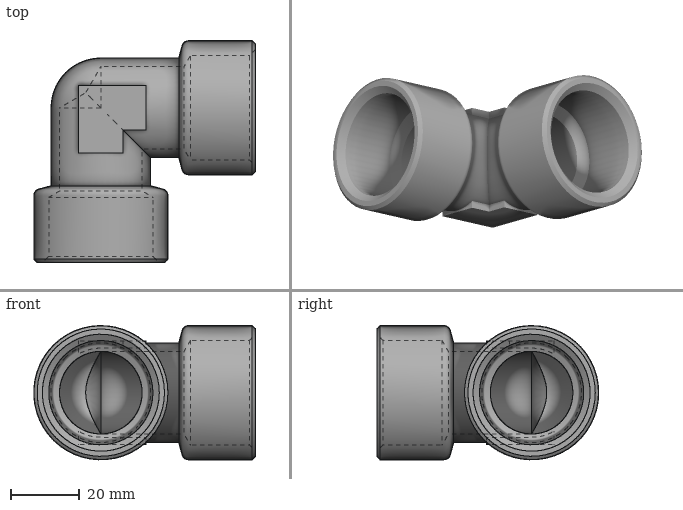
import cadquery as cq
import math

ARM_LENGTH = 45.0
NECK_RADIUS = 29.0 / 2

COLLAR_RADIUS = 39.0 / 2
COLLAR_SHOULDER = 25.55
SHOULDER_FILLET = 2.0
SHOULDER_SLOPE = math.radians(15)
RIM_CHAMFER = 1.0

BORE_RADIUS = 24.0 / 2
THREAD_RADIUS = 30.29 / 2
THREAD_DEPTH = 19.0
MOUTH_RADIUS = 34.0 / 2
MOUTH_CHAMFER = MOUTH_RADIUS - THREAD_RADIUS
DRILL_HALF_ANGLE = math.radians(60)

PAD_HALF_WIDTH = 6.5
PAD_REACH = 13.1
PAD_HEIGHT = 15.0


def drill_cone_length(radius_step):
    """Axial length of a drill-point cone over a change of radius."""
    return radius_step / math.tan(DRILL_HALF_ANGLE)


def revolve_about_x(profile):
    """Close a profile along the X axis and turn it into a full solid."""
    return profile.close().revolve(360, (0, 0, 0), (1, 0, 0))


def arm_body():
    """Neck and collar along +X, from an (axial, radial) profile revolved about X."""
    fillet_center_radius = COLLAR_RADIUS - SHOULDER_FILLET

    def fillet_point(angle):
        """Point on the shoulder fillet, with the angle taken from the -X direction."""
        return (
            COLLAR_SHOULDER - SHOULDER_FILLET * math.cos(angle),
            fillet_center_radius + SHOULDER_FILLET * math.sin(angle),
        )

    cone_end = fillet_point(SHOULDER_SLOPE)
    fillet_middle = fillet_point((SHOULDER_SLOPE + math.pi / 2) / 2)
    cone_start = cone_end[0] - (cone_end[1] - NECK_RADIUS) * math.tan(SHOULDER_SLOPE)
    profile = (
        cq.Workplane("XY")
        .moveTo(0, 0)
        .lineTo(0, NECK_RADIUS)
        .lineTo(cone_start, NECK_RADIUS)
        .lineTo(*cone_end)
        .threePointArc(fillet_middle, (COLLAR_SHOULDER, COLLAR_RADIUS))
        .lineTo(ARM_LENGTH - RIM_CHAMFER, COLLAR_RADIUS)
        .lineTo(ARM_LENGTH, COLLAR_RADIUS - RIM_CHAMFER)
        .lineTo(ARM_LENGTH, 0)
    )
    return revolve_about_x(profile)


def arm_bore():
    """Drilled bore along +X: drill point, bore, cone step, thread bore and lead-in."""
    thread_end = ARM_LENGTH - THREAD_DEPTH
    step_start = thread_end - drill_cone_length(THREAD_RADIUS - BORE_RADIUS)
    profile = (
        cq.Workplane("XY")
        .moveTo(-drill_cone_length(BORE_RADIUS), 0)
        .lineTo(0, BORE_RADIUS)
        .lineTo(step_start, BORE_RADIUS)
        .lineTo(thread_end, THREAD_RADIUS)
        .lineTo(ARM_LENGTH - MOUTH_CHAMFER, THREAD_RADIUS)
        .lineTo(ARM_LENGTH, MOUTH_RADIUS)
        .lineTo(ARM_LENGTH, 0)
    )
    return revolve_about_x(profile)


def wrench_pads():
    """L-shaped block through the elbow that stands proud as a pad above and below."""
    return (
        cq.Workplane("XY")
        .moveTo(-PAD_HALF_WIDTH, PAD_HALF_WIDTH)
        .lineTo(PAD_REACH, PAD_HALF_WIDTH)
        .lineTo(PAD_REACH, -PAD_HALF_WIDTH)
        .lineTo(PAD_HALF_WIDTH, -PAD_HALF_WIDTH)
        .lineTo(PAD_HALF_WIDTH, -PAD_REACH)
        .lineTo(-PAD_HALF_WIDTH, -PAD_REACH)
        .close()
        .extrude(PAD_HEIGHT, both=True)
    )


def on_both_arms(shape):
    """Union of a +X arm shape and its copy turned onto -Y."""
    return shape.union(shape.rotate((0, 0, 0), (0, 0, 1), -90))


elbow_corner = cq.Workplane("XY").sphere(NECK_RADIUS)
body = on_both_arms(arm_body()).union(elbow_corner).union(wrench_pads())
result = body.cut(on_both_arms(arm_bore()))